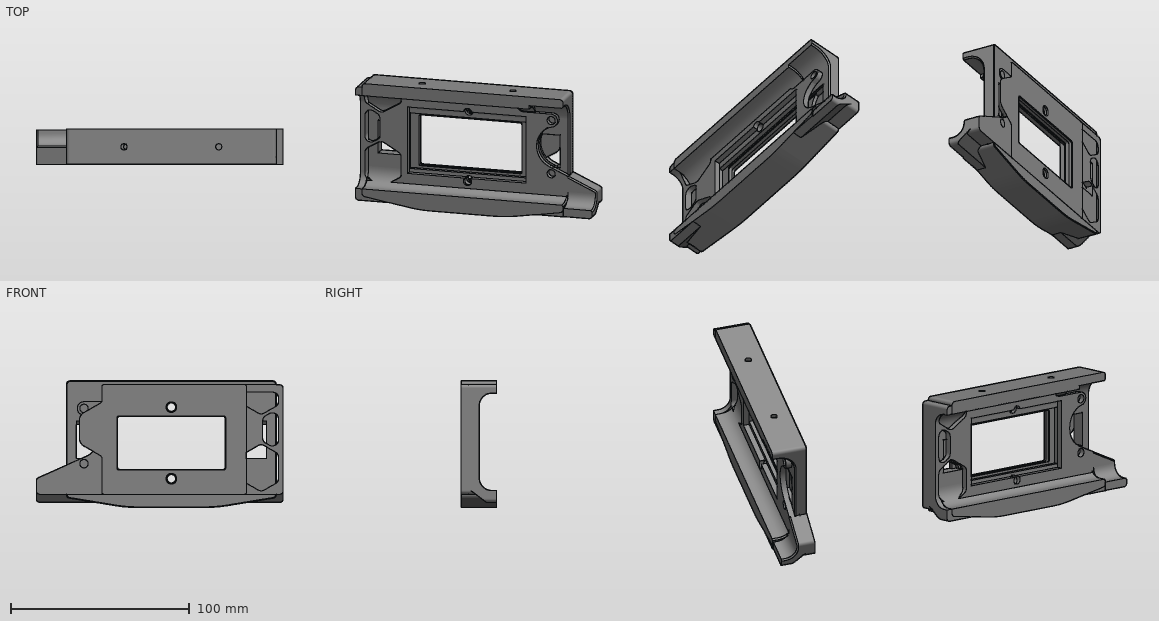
import cadquery as cq
import math

length = 138.0
depth = 20.0
height = 71.0
mid_x = 75.5
corner_radius = 2.0
edge_chamfer = 0.4
touch = 0.1

cover_thickness = 2.1
inlay_depth = 4.1
wall_thickness = 7.0

housing_half_length = 58.6
housing_left = mid_x - housing_half_length
housing_right = mid_x + housing_half_length
belly_half_length = 25.0
belly_rise = 5.5
belly_radius = 75.9
channel_radius = 9.7
channel_bottom = 9.7
channel_top = 63.9
end_channel_top = 66.0
pocket_inner = 37.5
pocket_outer = 53.1
pocket_bottom = 27.5
pocket_top = 48.3
pocket_ramp = 2.0
pocket_ramp_start = 4.8
top_hole_spacing = 53.0
top_hole_diameter = 3.5
pilot_diameter = 3.2
pilot_offset = 1.4
top_hole_y = 10.0
top_hole_depth = 2.2
pilot_depth = 4.1
lead_in = 0.8

window_length = 60.0
window_height = 29.5
window_z = 36.2
window_radius = 1.0
window_wall = 4.7
window_margin = 1.4
screw_diameter = 4.7
screw_head_diameter = 6.0
screw_spacing = 40.0

frame_bottom = 7.5
frame_top = 68.7
frame_thickness = 10.4
foot_bottom = 2.9
foot_ramp_start = 8.3
foot_ramp_end = 14.4
nose_depth = 19.5
nose_tip_z = 16.3
nose_slope = math.radians(23.8)
nose_channel_bottom = 7.7
frame_channel_radius = 6.9
throat_x = 22.8
throat_z = 40.0
throat_radius = 12.4
throat_end_reach = 5.7
hook_x = 26.6
hook_pin_offset = 15.5
hook_radius = 3.7
hook_shoulder_x = 46.2
hook_shoulder_radius = 3.5
opening_left = 41.4
opening_right = 110.4
opening_bottom = 18.0
opening_top = 56.6

cell_pitch = 24.8
cell_width = 23.2
cell_radius = 3.5
cell_x = 125.7
cell_z = 43.7
cells_right = 135.4
cells_top = 64.6

cover_left = 36.7
cover_right = 117.5
cover_radius = 1.0
tongue_left = 24.0
tongue_side = 15.7
tongue_z = 43.7
tongue_radius = 5.1
tongue_root_radius = 2.1


def prism(outline, y_end):
    """Extrude an outline drawn in the XZ plane from the front face back to Y = y_end."""
    return outline.extrude(-y_end)


def block(x0, x1, y0, y1, z0, z1):
    """Box between the given X, Y and Z limits."""
    return cq.Workplane("XY").box(x1 - x0, y1 - y0, z1 - z0, centered=False).translate((x0, y0, z0))


def hexagon(x, z, side, y_end):
    """Hexagonal prism with corners pointing up and down."""
    outline = cq.Workplane("XZ").center(x, z).polygon(6, 2 * side)
    return prism(outline, y_end).rotate((x, 0, z), (x, 1, z), 30)


def channel(x0, x1, floor_y, bottom, top, radius):
    """Space along X, open to the back, with round corners at its floor."""
    space = block(x0, x1, floor_y, 2 * depth, bottom, top)
    return space.edges("|X and <Y").fillet(radius)


def with_seam(body, tool):
    """Split the faces of a body where a tool's sides cross them; the body stays one solid."""
    return body.cut(tool, clean=False).union(body.intersect(tool, clean=False), clean=False)


def window_cut():
    opening = cq.Workplane("XZ").center(mid_x, window_z).rect(window_length, window_height)
    return prism(opening, depth).edges("|Y").fillet(window_radius)


def window_recess():
    """Recess behind the wall that carries the window."""
    reach = window_height / 2 + window_margin
    return block(opening_left, opening_right, window_wall, depth, window_z - reach, window_z + reach)


def screw_cuts():
    places = cq.Workplane("XZ").center(mid_x, window_z).pushPoints(
        [(0, -screw_spacing / 2), (0, screw_spacing / 2)]
    )
    return prism(places.circle(screw_diameter / 2), depth)


def cover_prism():
    plate = block(cover_left, cover_right, 0, cover_thickness, frame_bottom, frame_top)
    plate = plate.edges("|Y").fillet(cover_radius)
    tongue_x = tongue_left + tongue_side * math.sqrt(3) / 2
    tongue = hexagon(tongue_x, tongue_z, tongue_side, cover_thickness)
    tongue = tongue.edges("|Y").fillet(tongue_radius)
    solid = plate.union(tongue)
    roots = cq.selectors.BoxSelector(
        (cover_left - touch, 0, tongue_z - tongue_side),
        (cover_left + touch, cover_thickness, tongue_z + tongue_side),
    )
    return solid.edges("|Y").edges(roots).fillet(tongue_root_radius)


def honeycomb():
    """Three rounded cells, trimmed along the right and top borders of the pattern."""
    row_rise = cell_pitch * math.sqrt(3) / 2
    border = block(0, cells_right, 0, depth, 0, cells_top)
    cells = cq.Workplane("XY")
    for row in (-1, 0, 1):
        x = cell_x if row else cell_x + cell_pitch / 2
        cell = hexagon(x, cell_z + row * row_rise, cell_width / math.sqrt(3), depth)
        cells = cells.add(cell.intersect(border).edges("|Y").fillet(cell_radius))
    return cells.combine()


def pin_cuts():
    places = cq.Workplane("XZ").center(hook_x, throat_z).pushPoints(
        [(0, -hook_pin_offset), (0, hook_pin_offset)]
    )
    return prism(places.circle(screw_diameter / 2), depth)


def frame_prism(bottom):
    """Clamp frame seen along Y: nose, round throat, hook and the long plate."""
    run = math.sin(nose_slope)
    rise = math.cos(nose_slope)
    hook_z = throat_z + hook_pin_offset
    outline = (
        cq.Workplane("XZ")
        .moveTo(0, bottom)
        .lineTo(0, nose_tip_z)
        .lineTo(throat_x + throat_radius * run, throat_z - throat_radius * rise)
        .threePointArc(
            (throat_x + throat_radius, throat_z),
            (throat_x + throat_end_reach, throat_z + math.sqrt(throat_radius**2 - throat_end_reach**2)),
        )
        .lineTo(hook_x - hook_radius * run, hook_z - hook_radius * rise)
        .threePointArc((hook_x - hook_radius, hook_z), (hook_x, hook_z + hook_radius))
        .lineTo(hook_shoulder_x - hook_shoulder_radius, hook_z + hook_radius)
        .radiusArc((hook_shoulder_x, hook_z + hook_radius + hook_shoulder_radius), -hook_shoulder_radius)
        .lineTo(hook_shoulder_x, frame_top)
        .lineTo(length, frame_top)
        .lineTo(length, bottom)
        .close()
    )
    solid = prism(outline, depth)
    solid = solid.edges("|Y and (<X or >X)").fillet(corner_radius)
    return solid.cut(honeycomb()).cut(pin_cuts())


def housing_outline():
    belly_left = mid_x - belly_half_length
    belly_right = mid_x + belly_half_length
    outline = cq.Workplane("XZ").polyline(
        [
            (housing_left, belly_rise),
            (belly_left, 0),
            (belly_right, 0),
            (housing_right, belly_rise),
            (housing_right, height),
            (housing_left, height),
        ]
    ).close()
    solid = prism(outline, depth)
    solid = solid.edges("|Y and (<X or >X)").fillet(corner_radius)
    return solid.edges("|Y and <Z").fillet(belly_radius)


def housing_channel():
    middle = channel(0, length, wall_thickness, channel_bottom, channel_top, channel_radius)
    left_end = channel(0, cover_left, wall_thickness, channel_bottom, end_channel_top, channel_radius)
    return middle.union(left_end)


def clip_pockets():
    """Two pockets whose roofs slope down towards the back."""
    profile = cq.Workplane("YZ").polyline(
        [
            (0, pocket_bottom),
            (0, pocket_top),
            (pocket_ramp_start, pocket_top),
            (pocket_ramp_start + pocket_ramp, pocket_top - pocket_ramp),
            (depth, pocket_top - pocket_ramp),
            (depth, pocket_bottom),
        ]
    ).close()
    pocket = profile.extrude(pocket_outer - pocket_inner)
    left = pocket.translate((mid_x - pocket_outer, 0, 0))
    right = pocket.translate((mid_x + pocket_inner, 0, 0))
    return left.union(right)


def top_hole_cuts():
    left_x = mid_x - top_hole_spacing / 2
    right_x = mid_x + top_hole_spacing / 2

    def drill(x, diameter, top, bottom):
        hole = cq.Workplane("XY").center(x, top_hole_y).circle(diameter / 2).extrude(top - bottom)
        return hole.translate((0, 0, bottom))

    floor = height - top_hole_depth
    left = drill(left_x, top_hole_diameter, height, floor)
    pilot = drill(left_x + pilot_offset, pilot_diameter, floor, height - pilot_depth)
    right = drill(right_x, top_hole_diameter, height, floor)
    return left.union(pilot).union(right)


def make_housing():
    """Channel-shaped housing, recessed in front to receive the clamp frame and the cover."""
    body = housing_outline()
    body = body.faces("<Y").edges().chamfer(edge_chamfer)
    body = body.cut(housing_channel())
    channel_rim = cq.selectors.BoxSelector(
        (housing_left - touch, wall_thickness - touch, channel_bottom - touch),
        (housing_left + touch, depth, end_channel_top + touch),
    )
    body = body.edges(channel_rim).edges("not(>Y)").chamfer(lead_in)
    body = body.cut(window_cut()).cut(window_recess()).cut(screw_cuts())
    body = body.cut(clip_pockets()).cut(top_hole_cuts())
    front_layer = block(0, length, 0, inlay_depth, 0, height)
    return body.cut(frame_prism(frame_bottom).intersect(front_layer)).cut(cover_prism())


def frame_block():
    """Full-depth clamp frame; its underside ramps down to a lower foot at the back."""
    ramp_slope = (frame_bottom - foot_bottom) / (foot_ramp_end - foot_ramp_start)
    ramp_top_y = foot_ramp_end - (height - foot_bottom) / ramp_slope
    behind_ramp = cq.Workplane("YZ").polyline(
        [(foot_ramp_end, foot_bottom), (depth, foot_bottom), (depth, height), (ramp_top_y, height)]
    ).close().extrude(length)
    foot = frame_prism(foot_bottom).intersect(behind_ramp)
    return frame_prism(frame_bottom).union(foot)


def make_nose(frame):
    nose = frame.intersect(block(0, housing_left, 0, nose_depth, 0, height))
    space = channel(0, length, frame_thickness, nose_channel_bottom, height, frame_channel_radius)
    nose = nose.cut(space)
    channel_rim = cq.selectors.BoxSelector(
        (-touch, frame_thickness - touch, nose_channel_bottom - touch),
        (touch, nose_depth - touch, nose_tip_z),
    )
    return nose.edges(channel_rim).chamfer(lead_in)


def make_right_end(frame):
    end = frame.intersect(block(housing_right, length, 0, depth, 0, height))
    return end.cut(
        channel(0, length, frame_thickness, channel_bottom, channel_top, frame_channel_radius)
    )


def make_clamp_frame():
    """Front inlay and rear layer on either side of the housing wall, joined by two deep ends."""
    outline = frame_prism(frame_bottom)
    inside = block(housing_left, housing_right, 0, inlay_depth, 0, height)
    inlay = outline.intersect(inside)
    behind = block(housing_left, housing_right, wall_thickness, frame_thickness, 0, height)
    opening = block(opening_left, opening_right, 0, depth, opening_bottom, opening_top)
    rear_layer = outline.intersect(behind).intersect(housing_channel()).cut(opening)
    frame = frame_block()
    foot = frame.intersect(block(housing_left, housing_right, 0, depth, 0, frame_bottom))
    body = make_nose(frame)
    for piece in (inlay, rear_layer, foot.cut(housing_outline()), make_right_end(frame)):
        body = body.union(piece, clean=False)
    for tool in (cover_prism(), window_cut(), screw_cuts()):
        body = body.cut(tool, clean=False)
    return with_seam(body, clip_pockets())


def make_cover():
    """Thin front plate with a tongue, the window and two countersunk screw holes."""
    cover = cover_prism().cut(window_cut()).cut(screw_cuts())
    window_rim = cq.selectors.BoxSelector(
        (mid_x - window_length / 2 - touch, -touch, window_z - window_height / 2 - touch),
        (mid_x + window_length / 2 + touch, touch, window_z + window_height / 2 + touch),
    )
    cover = cover.edges(window_rim).chamfer(edge_chamfer)
    for z in (window_z - screw_spacing / 2, window_z + screw_spacing / 2):
        hole_rim = cq.selectors.NearestToPointSelector((mid_x, 0, z))
        cover = cover.faces("<Y").edges(hole_rim).chamfer((screw_head_diameter - screw_diameter) / 2)
    return with_seam(with_seam(cover, frame_prism(frame_bottom)), clip_pockets())


housing = make_housing()
clamp_frame = make_clamp_frame()
cover = make_cover()

result = cq.Compound.makeCompound([housing.val(), clamp_frame.val(), cover.val()])